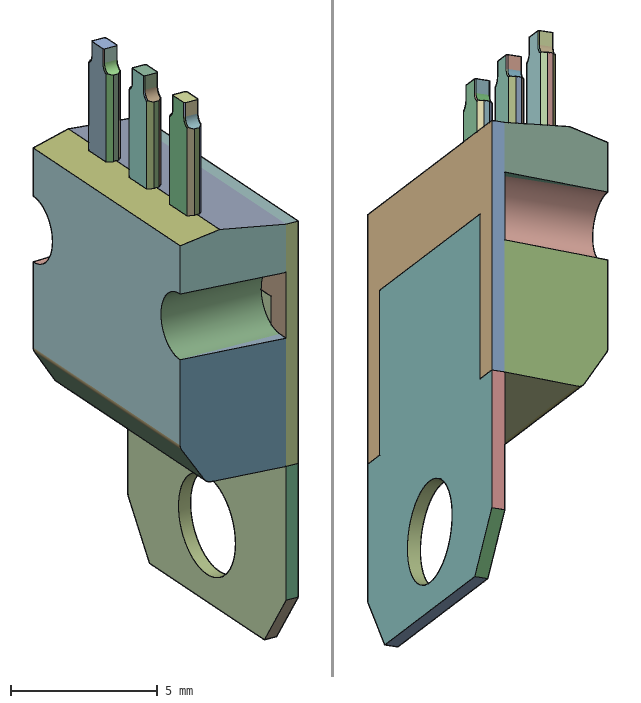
import cadquery as cq


width = 10.3
depth = 4.5
total_height = 20.5

tab_thickness = 0.5
tab_corner_x = 1.41
tab_corner_z = 2.03
hole_diameter = 3.7
hole_z = 2.87
tongue_width = 8.32
tongue_top_z = 13.02

housing_bottom_z = 7.03
shoulder_z = 16.1
ridge_z = 16.4
ridge_depth = 3.01
front_width = 9.55
chamfer_depth = 1.0
chamfer_height = 1.5
chamfer_edge_radius = 0.3

notch_depth = 1.62
notch_radius = 1.23
notch_z = 13.05

lead_count = 3
lead_pitch = 2.62
lead_row_x = 0.06
lead_width = 1.5
lead_thickness = 0.57
lead_edge_chamfer = 0.18
lead_tip_width = 0.8
lead_shoulder_z = 19.62
lead_tip_chamfer = 0.05
lead_root_depth = 0.4
lead_root_z = ridge_z - lead_root_depth


def make_tab():
    """Plate with two cut corners and a mounting hole, plus the narrower tongue held inside the housing."""
    half = width / 2
    outline = [
        (-half + tab_corner_x, 0),
        (half - tab_corner_x, 0),
        (half, tab_corner_z),
        (half, housing_bottom_z),
        (tongue_width / 2, housing_bottom_z),
        (tongue_width / 2, tongue_top_z),
        (-tongue_width / 2, tongue_top_z),
        (-tongue_width / 2, housing_bottom_z),
        (-half, housing_bottom_z),
        (-half, tab_corner_z),
    ]
    plate = cq.Workplane("XZ").polyline(outline).close().extrude(tab_thickness)
    hole = cq.Workplane("XZ").center(0, hole_z).circle(hole_diameter / 2).extrude(tab_thickness)
    return plate.cut(hole)


def make_ridged_block():
    """Block with a ridged top and a rounded chamfer along the lower front edge."""
    outline = [
        (0, housing_bottom_z),
        (-depth + chamfer_depth, housing_bottom_z),
        (-depth, housing_bottom_z + chamfer_height),
        (-depth, shoulder_z),
        (-ridge_depth, ridge_z),
        (-tab_thickness, shoulder_z),
        (0, shoulder_z),
    ]
    block = cq.Workplane("YZ").polyline(outline).close().extrude(width / 2, both=True)
    margin = chamfer_edge_radius
    lower_front = cq.selectors.BoxSelector(
        (-width, -depth - margin, housing_bottom_z - margin),
        (width, -depth + chamfer_depth + margin, housing_bottom_z + chamfer_height + margin),
    )
    return block.edges("|X").edges(lower_front).fillet(chamfer_edge_radius)


def make_drafted_envelope():
    """Plan shape: straight sides beside the tab, then tapering towards the front."""
    outline = [
        (-width / 2, 0),
        (-width / 2, -tab_thickness),
        (-front_width / 2, -depth),
        (front_width / 2, -depth),
        (width / 2, -tab_thickness),
        (width / 2, 0),
    ]
    return cq.Workplane("XY").polyline(outline).close().extrude(total_height)


def make_notch(side):
    """Round-ended slot cut into one side, from the front face back to the tab plane."""
    return (
        cq.Workplane("XZ", origin=(side * width / 2, -tab_thickness, notch_z))
        .slot2D(2 * notch_depth, 2 * notch_radius)
        .extrude(depth)
    )


def make_lead(x):
    """Flat pin with chamfered long edges, narrowed by two quarter-round necks to a lightly chamfered tip."""
    blank = (
        cq.Workplane("XY", origin=(x, -ridge_depth, lead_root_z))
        .rect(lead_width, lead_thickness)
        .extrude(total_height - lead_root_z)
        .edges("|Z")
        .chamfer(lead_edge_chamfer)
    )
    half = lead_width / 2
    half_tip = lead_tip_width / 2
    neck_radius = half - half_tip
    neck_top_z = lead_shoulder_z + neck_radius
    stepped_plate = (
        cq.Workplane("XZ", origin=(x, -ridge_depth + lead_thickness / 2, 0))
        .moveTo(-half, lead_root_z)
        .lineTo(half, lead_root_z)
        .lineTo(half, lead_shoulder_z)
        .radiusArc((half_tip, neck_top_z), neck_radius)
        .lineTo(half_tip, total_height)
        .lineTo(-half_tip, total_height)
        .lineTo(-half_tip, neck_top_z)
        .radiusArc((-half, lead_shoulder_z), neck_radius)
        .close()
        .extrude(lead_thickness)
    )
    neck_and_tip = cq.selectors.BoxSelector(
        (x - width, -depth, lead_shoulder_z + lead_tip_chamfer),
        (x + width, 0, total_height - lead_tip_chamfer),
    )
    stepped_plate = stepped_plate.faces("<Y or >Y").edges(neck_and_tip).chamfer(lead_tip_chamfer)
    return blank.intersect(stepped_plate)


def make_housing(tab):
    """Drafted moulding with side notches, its three leads, and a recess that fits the tab tongue."""
    body = make_ridged_block().intersect(make_drafted_envelope())
    for side in (-1, 1):
        body = body.cut(make_notch(side))
    for index in range(lead_count):
        x = lead_row_x + (index - (lead_count - 1) / 2) * lead_pitch
        body = body.union(make_lead(x))
    return body.cut(tab)


tab = make_tab()
housing = make_housing(tab)

result = cq.Compound.makeCompound([housing.val(), tab.val()])